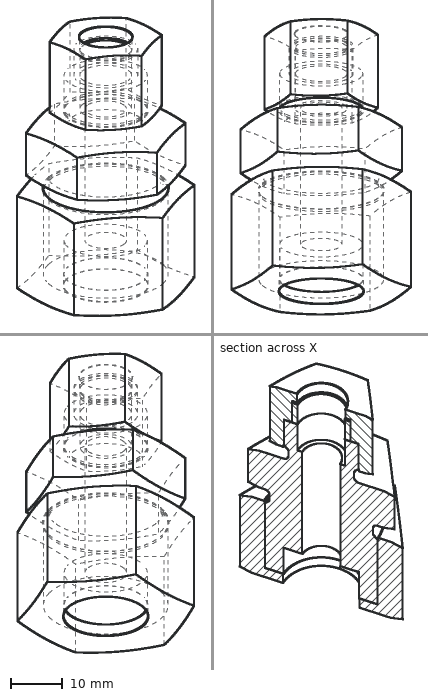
import cadquery as cq
import math


large_nut_length = 20.5
small_nut_length = 15.5
hex_length = 10.0
gap = 3.0

hex_bottom = large_nut_length + gap
hex_top = hex_bottom + hex_length
small_nut_bottom = hex_top + gap
total_height = small_nut_bottom + small_nut_length

small_nut_flats = 19.0
body_flats = 27.0
large_nut_flats = 30.0
bevel_angle = 15.0
bevel_inset = 0.15

through_bore = 8.0
small_thread = 16.0
small_root = 14.35
small_tube = 10.0
large_thread = 24.0
large_root = 22.35
large_tube = 16.0
relief_radius = 1.0
straight_neck = 1.25
socket_depth = 7.0

tube_clearance = 0.2
lip_length = 2.45
mouth_chamfer = 0.15
ring_diameter = 12.3
ring_length = 5.2
ring_gap = 0.4
opening_chamfer = 0.1

small_stud_end = total_height - lip_length - ring_gap - ring_length
large_stud_end = lip_length


def cylinder(diameter, bottom, top):
    return cq.Workplane("XY").workplane(offset=bottom).circle(diameter / 2).extrude(top - bottom)


def beveled_hexagon(flats, length, inset):
    """Hexagonal prism on Z = 0, corners along Y, beveled at both ends."""
    corner_diameter = flats / math.cos(math.radians(30))
    corner_radius = corner_diameter / 2
    face_radius = flats / 2 - inset
    bevel = (corner_radius - face_radius) * math.tan(math.radians(bevel_angle))
    prism = (
        cq.Workplane("XY")
        .transformed(rotate=(0, 0, 90))
        .polygon(6, corner_diameter)
        .extrude(length)
    )
    envelope = (
        cq.Workplane("XZ")
        .moveTo(0, 0)
        .lineTo(face_radius, 0)
        .lineTo(corner_radius, bevel)
        .lineTo(corner_radius, length - bevel)
        .lineTo(face_radius, length)
        .lineTo(0, length)
        .close()
        .revolve(360, (0, 0), (0, 1))
    )
    return prism.intersect(envelope)


def stud(thread, root, hex_face, end):
    """Threaded stud from a hexagon face to its end, with a filleted neck.

    The fillet at the hexagon is a full quarter circle. The one at the thread
    has the same radius and stops at the root diameter, where the lead-in starts.
    """
    direction = math.copysign(1, end - hex_face)
    thread_radius = thread / 2
    root_radius = root / 2
    neck_radius = thread_radius - relief_radius

    def arc_point(straight_end, angle, toward):
        """Point on a neck fillet, at an angle in radians from its tangent to the neck."""
        radius = thread_radius - relief_radius * math.cos(angle)
        return radius, straight_end + toward * relief_radius * math.sin(angle)

    straight_start = hex_face + relief_radius * direction
    straight_end = straight_start + straight_neck * direction
    quarter = math.radians(90)
    root_angle = math.acos((thread_radius - root_radius) / relief_radius)
    root_point = arc_point(straight_end, root_angle, direction)
    thread_start = root_point[1] + (thread_radius - root_radius) * direction
    return (
        cq.Workplane("XZ")
        .moveTo(0, hex_face)
        .lineTo(thread_radius, hex_face)
        .threePointArc(arc_point(straight_start, quarter / 2, -direction), (neck_radius, straight_start))
        .lineTo(neck_radius, straight_end)
        .threePointArc(arc_point(straight_end, root_angle / 2, direction), root_point)
        .lineTo(thread_radius, thread_start)
        .lineTo(thread_radius, end)
        .lineTo(0, end)
        .close()
        .revolve(360, (0, 0), (0, 1))
    )


def make_body():
    hexagon = beveled_hexagon(body_flats, hex_length, bevel_inset).translate((0, 0, hex_bottom))
    small_stud = stud(small_thread, small_root, hex_top, small_stud_end)
    large_stud = stud(large_thread, large_root, hex_bottom, large_stud_end)
    small_socket = cylinder(small_tube, small_stud_end - socket_depth, small_stud_end)
    large_socket = cylinder(large_tube, large_stud_end, large_stud_end + socket_depth)
    bore = cylinder(through_bore, 0, total_height)
    solid = hexagon.union(small_stud).union(large_stud)
    return solid.cut(small_socket).cut(large_socket).cut(bore)


def make_nut(flats, length, inset, thread, tube, seat_length):
    """Union nut with its threaded mouth on Z = 0 and its tube opening on top.

    seat_length is the depth of the cutting-ring seat under the lip; 0 leaves it out.
    """
    opening = tube + tube_clearance
    seat_top = length - lip_length
    thread_top = seat_top - seat_length
    nut = beveled_hexagon(flats, length, inset)
    nut = nut.cut(cylinder(thread, 0, thread_top)).cut(cylinder(opening, thread_top, length))
    if seat_length > 0:
        nut = nut.cut(cylinder(ring_diameter, thread_top, seat_top))
    bore_edge = cq.selectors.RadiusNthSelector(0)
    nut = nut.faces(">Z").edges(bore_edge).chamfer(opening_chamfer)
    return nut.faces("<Z").edges(bore_edge).chamfer(mouth_chamfer)


def make_cutting_ring():
    bottom = small_stud_end
    top = bottom + ring_length
    return cylinder(ring_diameter, bottom, top).cut(cylinder(small_tube, bottom, top))


body = make_body()

small_nut = make_nut(
    small_nut_flats, small_nut_length, 0, small_thread, small_tube, ring_length + ring_gap
)
small_nut = small_nut.translate((0, 0, small_nut_bottom))

large_nut = make_nut(large_nut_flats, large_nut_length, bevel_inset, large_thread, large_tube, 0)
large_nut = large_nut.rotate((0, 0, 0), (1, 0, 0), 180).translate((0, 0, large_nut_length))

cutting_ring = make_cutting_ring()

result = cq.Compound.makeCompound(
    [body.val(), small_nut.val(), large_nut.val(), cutting_ring.val()]
)